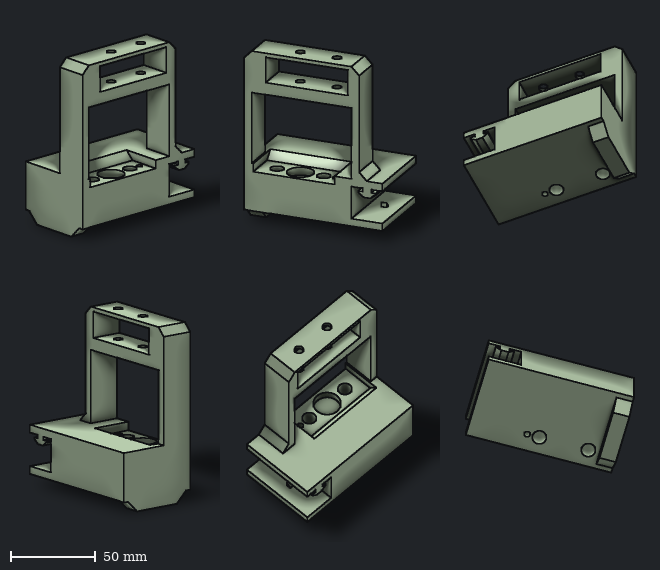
import cadquery as cq

WIDTH = 50.0
LENGTH = 89.0
TOTAL_HEIGHT = 107.9

BLOCK_HEIGHT = 30.0
LUG_DROP = 7.0
LUG_LENGTH = 10.0
LUG_BOTTOM_INSET = 10.0
ARM_TOP = TOTAL_HEIGHT - LUG_DROP

SLOT_DEPTH = 20.0
SLOT_WALL = 4.9
SLOT_FLOOR = SLOT_WALL
SLOT_CEILING = BLOCK_HEIGHT - SLOT_WALL
SLOT_MIDDLE = LENGTH - SLOT_DEPTH / 2

RAIL_NECK_WIDTH = 5.6
RAIL_LIP_WIDTH = 11.2
RAIL_BOTTOM_WIDTH = 4.3
RAIL_LIP_TOP = 2.0
RAIL_LIP_BOTTOM = 3.0
RAIL_DEPTH = 5.6

CATCH_WIDTH = 3.6
CATCH_HEIGHT = 2.8

ARM_THICKNESS = 20.0
ARM_BEVEL = 5.0
FRONT_POST_WIDTH = 5.1
BACK_POST_WIDTH = 5.0
ARM_LENGTH = LENGTH - SLOT_DEPTH + BACK_POST_WIDTH
ARM_LEFT = WIDTH - ARM_THICKNESS
MAIN_WINDOW_HEIGHT = 44.7

RECESS_FRONT = 6.0
RECESS_LENGTH = 52.2
RECESS_LEFT = 24.4
RECESS_DEPTH = 5.2
RECESS_FLOOR = BLOCK_HEIGHT - RECESS_DEPTH
UPPER_WINDOW_FRONT = 14.0
UPPER_WINDOW_LENGTH = 52.7
UPPER_WINDOW_HEIGHT = 16.0
TOP_BAR_THICKNESS = 2.6
UPPER_WINDOW_TOP = ARM_TOP - TOP_BAR_THICKNESS
UPPER_WINDOW_BOTTOM = UPPER_WINDOW_TOP - UPPER_WINDOW_HEIGHT

ARM_HOLE_X = 39.8
ARM_HOLE_DIAMETER = 5.4
ARM_HOLE_SPACING = 23.5
BLIND_HOLE_DEPTH = 2.5

WELL_X = 39.7
WELL_Y = 31.9
WELL_DIAMETER = 16.3
WELL_DEPTH = 5.0
SIDE_HOLE_DIAMETER = 8.3
SIDE_HOLE_OFFSET = 15.0
SMALL_HOLE_DIAMETER = 3.5
SMALL_HOLE_OFFSET = 22.4


def box(x_range, y_range, z_range):
    """A box between the given limits on each axis."""
    (x0, x1), (y0, y1), (z0, z1) = x_range, y_range, z_range
    return cq.Workplane("XY").box(x1 - x0, y1 - y0, z1 - z0, centered=False).translate((x0, y0, z0))


def across(points, x_start, x_end):
    """A Y-Z outline extruded along X."""
    return cq.Workplane("YZ").workplane(offset=x_start).polyline(points).close().extrude(x_end - x_start)


def along(points, y_start, y_end):
    """An X-Z outline extruded along Y."""
    return cq.Workplane("XZ").workplane(offset=-y_end).polyline(points).close().extrude(y_end - y_start)


def hole(x, y, diameter, bottom, top):
    """A vertical cylinder between two heights."""
    return cq.Workplane("XY", origin=(x, y, bottom)).circle(diameter / 2).extrude(top - bottom)


def make_block():
    block = box((0, WIDTH), (0, LENGTH), (0, BLOCK_HEIGHT))
    slot = box((0, WIDTH), (LENGTH - SLOT_DEPTH, LENGTH), (SLOT_FLOOR, SLOT_CEILING))
    return block.cut(slot)


def make_lug():
    top_inset = LUG_BOTTOM_INSET - LUG_DROP
    outline = [
        (top_inset, 0),
        (LUG_BOTTOM_INSET, -LUG_DROP),
        (WIDTH - LUG_BOTTOM_INSET, -LUG_DROP),
        (WIDTH - top_inset, 0),
    ]
    return along(outline, 0, LUG_LENGTH)


def make_rail():
    half_outline = [
        (RAIL_NECK_WIDTH / 2, 0),
        (RAIL_NECK_WIDTH / 2, RAIL_LIP_TOP),
        (RAIL_LIP_WIDTH / 2, RAIL_LIP_TOP),
        (RAIL_LIP_WIDTH / 2, RAIL_LIP_BOTTOM),
        (RAIL_BOTTOM_WIDTH / 2, RAIL_DEPTH),
    ]
    back = [(SLOT_MIDDLE + y, SLOT_CEILING - drop) for y, drop in half_outline]
    front = [(SLOT_MIDDLE - y, SLOT_CEILING - drop) for y, drop in reversed(half_outline)]
    return across(back + front, 0, WIDTH)


def make_catch():
    """A 45 degree ramp rising to a vertical face halfway along the slot."""
    ramp_end = WIDTH / 2
    outline = [
        (ramp_end - CATCH_HEIGHT, SLOT_FLOOR),
        (ramp_end, SLOT_FLOOR),
        (ramp_end, SLOT_FLOOR + CATCH_HEIGHT),
    ]
    return along(outline, SLOT_MIDDLE - CATCH_WIDTH / 2, SLOT_MIDDLE + CATCH_WIDTH / 2)


def make_arm():
    outline = [
        (0, BLOCK_HEIGHT),
        (0, ARM_TOP - ARM_BEVEL),
        (ARM_BEVEL, ARM_TOP),
        (ARM_LENGTH - ARM_BEVEL, ARM_TOP),
        (ARM_LENGTH, ARM_TOP - ARM_BEVEL),
        (ARM_LENGTH, BLOCK_HEIGHT + ARM_BEVEL),
        (ARM_LENGTH + ARM_BEVEL, BLOCK_HEIGHT),
    ]
    main_window = box(
        (ARM_LEFT, WIDTH),
        (FRONT_POST_WIDTH, ARM_LENGTH - BACK_POST_WIDTH),
        (BLOCK_HEIGHT, BLOCK_HEIGHT + MAIN_WINDOW_HEIGHT),
    )
    upper_window = box(
        (ARM_LEFT, WIDTH),
        (UPPER_WINDOW_FRONT, UPPER_WINDOW_FRONT + UPPER_WINDOW_LENGTH),
        (UPPER_WINDOW_BOTTOM, UPPER_WINDOW_TOP),
    )
    arm = across(outline, ARM_LEFT, WIDTH).cut(main_window).cut(upper_window)
    through_hole = hole(ARM_HOLE_X, WELL_Y, ARM_HOLE_DIAMETER, BLOCK_HEIGHT, ARM_TOP)
    blind_hole = hole(
        ARM_HOLE_X,
        WELL_Y + ARM_HOLE_SPACING,
        ARM_HOLE_DIAMETER,
        UPPER_WINDOW_BOTTOM - BLIND_HOLE_DEPTH,
        ARM_TOP,
    )
    return arm.cut(through_hole).cut(blind_hole)


def make_recess():
    """The recess, with a 45 degree slope on its left side, together with the holes in its floor."""
    outline = [
        (RECESS_LEFT, BLOCK_HEIGHT),
        (RECESS_LEFT + RECESS_DEPTH, RECESS_FLOOR),
        (WIDTH, RECESS_FLOOR),
        (WIDTH, BLOCK_HEIGHT),
    ]
    recess = along(outline, RECESS_FRONT, RECESS_FRONT + RECESS_LENGTH)
    recess = recess.union(hole(WELL_X, WELL_Y, WELL_DIAMETER, RECESS_FLOOR - WELL_DEPTH, RECESS_FLOOR))
    through_holes = [
        (-SIDE_HOLE_OFFSET, SIDE_HOLE_DIAMETER),
        (SIDE_HOLE_OFFSET, SIDE_HOLE_DIAMETER),
        (SMALL_HOLE_OFFSET, SMALL_HOLE_DIAMETER),
    ]
    for offset, diameter in through_holes:
        recess = recess.union(hole(WELL_X, WELL_Y + offset, diameter, 0, RECESS_FLOOR))
    return recess


result = make_block().union(make_lug()).union(make_rail()).union(make_catch()).union(make_arm())
result = result.cut(make_recess())